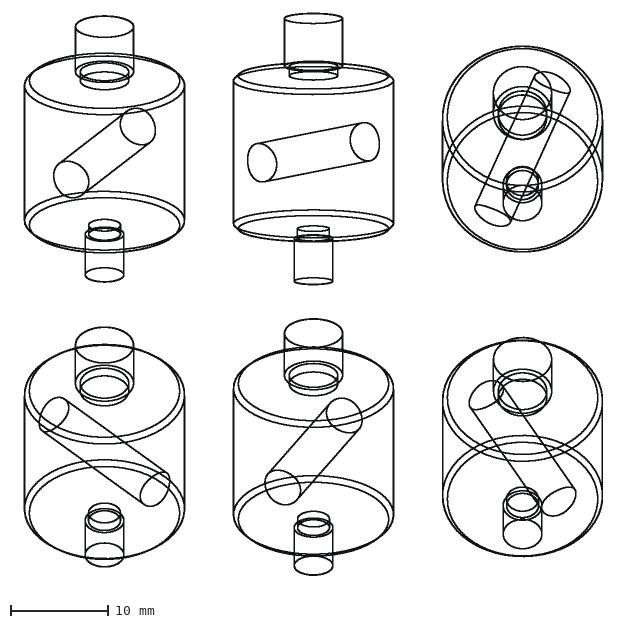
import cadquery as cq

body_diameter = 16.5
body_height = 16.0
body_chamfer = 0.5

cross_hole_diameter = 4.0

upper_stud_diameter = 6.0
upper_stud_length = 5.0
upper_neck_diameter = 5.0

lower_stud_diameter = 4.0
lower_stud_length = 4.5
lower_neck_diameter = 3.3

neck_length = 1.0


def cylinder(diameter, bottom, height):
    """Cylinder on the Z axis, rising from the given level."""
    return cq.Workplane("XY").workplane(offset=bottom).circle(diameter / 2).extrude(height)


def make_body():
    """Chamfered cylinder with a cross hole through it."""
    body = cylinder(body_diameter, 0, body_height).faces("<Z or >Z").chamfer(body_chamfer)
    cross_hole = (
        cq.Workplane("XZ")
        .center(0, body_height / 2)
        .circle(cross_hole_diameter / 2)
        .extrude(body_diameter, both=True)
    )
    return body.cut(cross_hole)


def make_upper_stud():
    """Neck and stud standing on the top face of the body."""
    neck = cylinder(upper_neck_diameter, body_height, neck_length)
    stud = cylinder(upper_stud_diameter, body_height + neck_length, upper_stud_length)
    return neck.union(stud)


def make_lower_stud():
    """Neck and stud hanging from the bottom face of the body."""
    neck = cylinder(lower_neck_diameter, -neck_length, neck_length)
    stud = cylinder(lower_stud_diameter, -neck_length - lower_stud_length, lower_stud_length)
    return neck.union(stud)


result = make_body().union(make_upper_stud()).union(make_lower_stud())